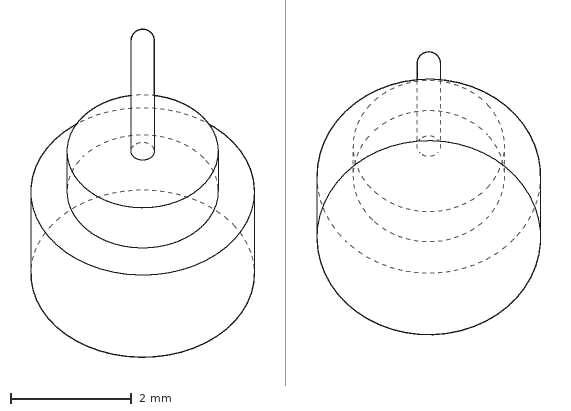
import cadquery as cq

total_height = 6.0
base_diameter = 3.7
base_height = 2.05
collar_diameter = 2.5
collar_height = 1.0
pin_diameter = 0.39

pin_radius = pin_diameter / 2
collar_top = base_height + collar_height
pin_length = total_height - collar_top

base = cq.Workplane("XY").circle(base_diameter / 2).extrude(base_height)
collar = cq.Workplane("XY").circle(collar_diameter / 2).extrude(collar_top)

pin_shaft = (
    cq.Workplane("XY")
    .workplane(offset=collar_top)
    .circle(pin_radius)
    .extrude(pin_length - pin_radius)
)
pin_tip = cq.Workplane("XY").sphere(pin_radius).translate((0, 0, total_height - pin_radius))

result = base.union(collar).union(pin_shaft).union(pin_tip)